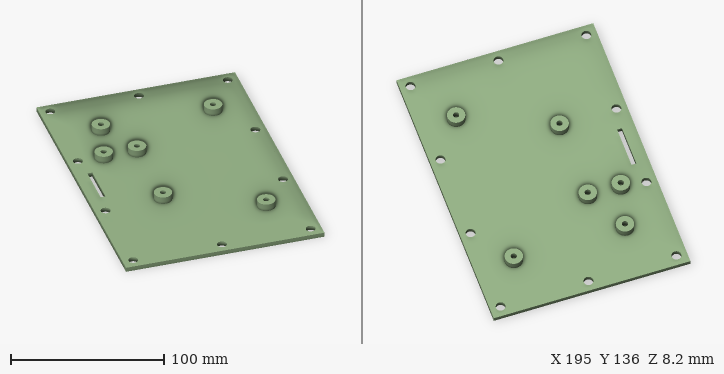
import cadquery as cq

plate_length = 195.0
plate_width = 136.0
plate_thickness = 3.1

mount_hole_diameter = 6.5
mount_edge_inset = 7.2
mount_columns = 4
mount_rows = 3

total_height = 8.2
standoff_height = total_height - plate_thickness
standoff_diameter = 12.0
standoff_bore = 4.0
standoff_centers = [
    (-59.3, 41.0),
    (56.4, 41.0),
    (-28.3, -20.9),
    (28.3, -20.9),
    (-59.3, -35.9),
    (-28.3, -43.7),
]

slot_length = 28.9
slot_width = 3.3
slot_center_y = -57.5


def mount_hole_centers():
    """Evenly spaced grid positions, keeping only those on the border."""
    x_span = plate_length - 2 * mount_edge_inset
    y_span = plate_width - 2 * mount_edge_inset
    centers = []
    for column in range(mount_columns):
        for row in range(mount_rows):
            if column in (0, mount_columns - 1) or row in (0, mount_rows - 1):
                x = x_span * (column / (mount_columns - 1) - 0.5)
                y = y_span * (row / (mount_rows - 1) - 0.5)
                centers.append((x, y))
    return centers


def make_plate():
    plate = cq.Workplane("XY").rect(plate_length, plate_width).extrude(plate_thickness)
    holes = (
        cq.Workplane("XY")
        .pushPoints(mount_hole_centers())
        .circle(mount_hole_diameter / 2)
        .extrude(plate_thickness)
    )
    slot = (
        cq.Workplane("XY")
        .center(0, slot_center_y)
        .rect(slot_length, slot_width)
        .extrude(plate_thickness)
    )
    return plate.cut(holes).cut(slot)


def make_standoffs():
    return (
        cq.Workplane("XY", origin=(0, 0, plate_thickness))
        .pushPoints(standoff_centers)
        .circle(standoff_diameter / 2)
        .circle(standoff_bore / 2)
        .extrude(standoff_height)
    )


result = make_plate().union(make_standoffs())